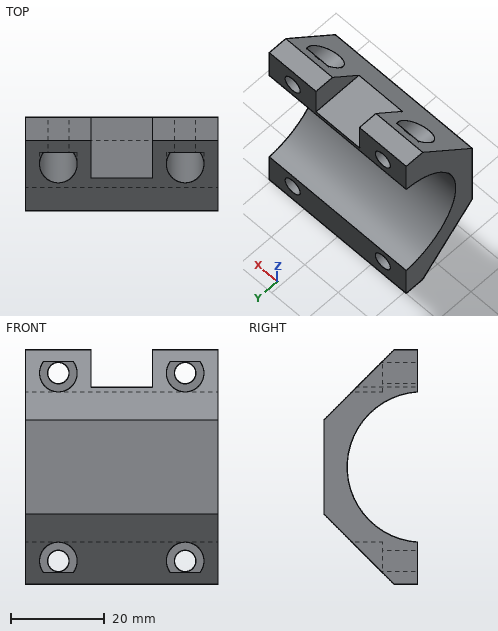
import cadquery as cq

width = 41.0
depth = 20.0
height = 50.0

slope = 15.0

channel_radius = 16.0
front_wall = 5.0

notch_width = 13.0
notch_depth = 8.0

hole_diameter = 4.5
counterbore_diameter = 8.0
hole_spacing_x = 27.0
hole_spacing_z = 40.0
flange_thickness = 7.5


def make_body():
    """Block with its front at Y = 0 and both front corners sloped."""
    block = cq.Workplane("XY").box(width, depth, height).translate((0, depth / 2, 0))
    return block.faces("<Y").edges("|X").chamfer(slope)


def make_channel():
    """Cylinder along X that hollows the back of the body."""
    return (
        cq.Workplane("YZ")
        .center(front_wall + channel_radius, 0)
        .circle(channel_radius)
        .extrude(width, both=True)
    )


def make_notch():
    """Rectangular cut through the full depth of the top edge."""
    return cq.Workplane("XY").box(notch_width, depth, notch_depth).translate(
        (0, depth / 2, (height - notch_depth) / 2)
    )


def make_screw_holes():
    """Four through holes along Y, with counterbores entering from the front."""
    centres = cq.Workplane("XZ").rarray(hole_spacing_x, hole_spacing_z, 2, 2)
    holes = centres.circle(hole_diameter / 2).extrude(-depth)
    counterbores = centres.circle(counterbore_diameter / 2).extrude(-(depth - flange_thickness))
    return holes.union(counterbores)


result = make_body().cut(make_channel()).cut(make_notch()).cut(make_screw_holes())